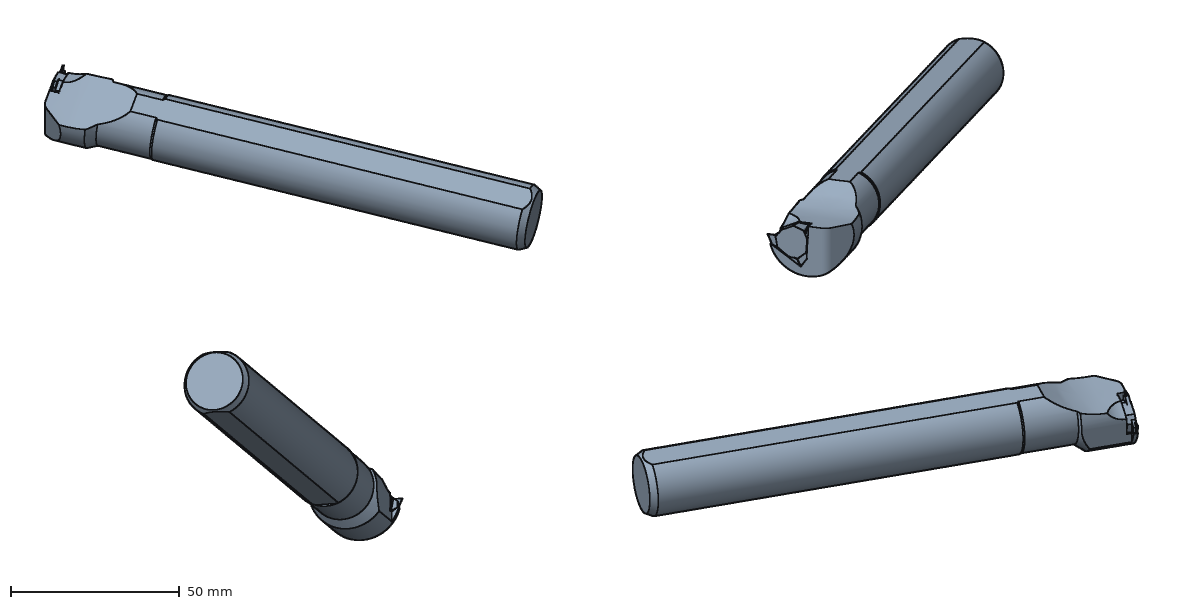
import cadquery as cq
import math

bar_length = 150.0
shank_diameter = 20.0
flat_height = 9.2
end_chamfer_length = 2.2
end_chamfer_depth = 1.2

neck_radius = 9.8
neck_start = 17.5
neck_end = 34.2
neck_step_length = 0.6

head_radius = 12.2
head_center = (0.9, 0.3)
head_end = 14.4
head_top = 4.0
relief_start = 1.4
relief_radius = 10.5
corner_cut_y = -5.1
corner_cut_x = 7.0
corner_round = 3.3
run_out_middle = (14.1, 4.5)
run_out_end = 26.2
run_out_slope = 28.0
scoop_radius = 9.0
scoop_point = (6.2, 3.3)
scoop_fall = 26.0

tooth_count = 3
insert_center = (5.7, -1.5)
insert_thickness = 2.8
tooth_thickness = 0.6
shoulder_thickness = 1.4
tooth_setback = 0.2
tooth_flank = (6.5, -1.5)
tooth_tip = (7.8, 1.42)
tooth_root = (5.4, 1.42)
shoulder_tip = (6.6, 0.5)
core_corners = [(4.6, -2.2), (5.2, 1.0), (3.6, 3.3)]

shank_radius = shank_diameter / 2
reach = 2 * shank_diameter


def disc(radius, start, length, center=(0, 0)):
    """Cylinder along X."""
    return cq.Workplane("YZ", origin=(start, 0, 0)).center(*center).circle(radius).extrude(length)


def prism(points, start, length):
    """Polygon in Y, Z extruded along X."""
    return cq.Workplane("YZ", origin=(start, 0, 0)).polyline(points).close().extrude(length)


def insert_point(offset, index):
    """Y, Z of an offset from the insert center, turned to the tooth of that index."""
    angle = 2 * math.pi * index / tooth_count
    y, z = offset
    return (
        insert_center[0] + y * math.cos(angle) - z * math.sin(angle),
        insert_center[1] + y * math.sin(angle) + z * math.cos(angle),
    )


def insert_outline(corners):
    """Repeat the corners of one tooth around the insert center."""
    return [insert_point(corner, i) for i in range(tooth_count) for corner in corners]


def make_insert():
    """Core with three thin teeth, each stiffened by a shorter shoulder behind it."""
    teeth = prism(
        insert_outline([tooth_flank, tooth_tip, tooth_root]),
        tooth_setback,
        tooth_thickness - tooth_setback,
    )
    shoulder = prism(
        insert_outline([tooth_flank, shoulder_tip, tooth_root]),
        tooth_setback,
        shoulder_thickness - tooth_setback,
    )
    core = prism(insert_outline(core_corners), 0, insert_thickness)
    return teeth.union(shoulder).union(core)


def make_shank():
    """Round shank with two flats, a chamfered end and a small step down to the neck."""
    step_end = neck_end + neck_step_length
    shank = (
        cq.Workplane("XY")
        .moveTo(neck_end, 0)
        .lineTo(neck_end, neck_radius)
        .lineTo(step_end, shank_radius)
        .lineTo(bar_length - end_chamfer_length, shank_radius)
        .lineTo(bar_length, shank_radius - end_chamfer_depth)
        .lineTo(bar_length, 0)
        .close()
        .revolve(360, (0, 0, 0), (1, 0, 0))
    )
    flats = cq.Workplane("XY").box(2 * bar_length, reach, 2 * flat_height)
    return shank.intersect(flats)


def make_neck():
    neck = disc(neck_radius, neck_start, neck_end - neck_start)
    above_flat = cq.Workplane("XY", origin=(0, 0, flat_height)).rect(2 * bar_length, reach).extrude(reach)
    return neck.cut(above_flat)


def make_head():
    """Offset round head, cut back on +Y, blending into the neck."""
    head = disc(head_radius, 0, head_end, head_center)
    blend = (
        cq.Workplane("YZ", origin=(head_end, 0, 0))
        .center(*head_center)
        .circle(head_radius)
        .workplane(offset=neck_start - head_end)
        .center(-head_center[0], -head_center[1])
        .circle(neck_radius)
        .loft()
    )
    relief = (
        cq.Workplane("YZ", origin=(relief_start, 0, 0))
        .moveTo(0, relief_radius)
        .radiusArc((relief_radius, 0), relief_radius)
        .lineTo(relief_radius, -reach)
        .lineTo(reach, -reach)
        .lineTo(reach, reach)
        .lineTo(0, reach)
        .close()
        .extrude(reach)
    )
    return head.union(blend).cut(relief).intersect(corner_envelope())


def corner_envelope():
    """Block whose front -Y corner is cut off obliquely, with a rounded front edge."""
    cut_end_y = head_center[0] - head_radius
    block = (
        cq.Workplane("XY", origin=(0, 0, -reach))
        .polyline([
            (0, reach),
            (0, corner_cut_y),
            (corner_cut_x, cut_end_y),
            (corner_cut_x, -reach),
            (reach, -reach),
            (reach, reach),
        ])
        .close()
        .extrude(2 * reach)
    )
    front_edge = cq.selectors.NearestToPointSelector((0, corner_cut_y, 0))
    return block.edges(front_edge).fillet(corner_round)


def top_cut():
    """Space above the head top, which starts level and curves up to the shank flat."""
    slope = math.radians(run_out_slope)
    end_direction = (math.cos(slope), math.sin(slope))
    return (
        cq.Workplane("XZ", origin=(0, reach, 0))
        .moveTo(0, head_top)
        .spline(
            [run_out_middle, (run_out_end, flat_height)],
            tangents=[(1, 0), end_direction],
            includeCurrent=True,
        )
        .lineTo(run_out_end, reach)
        .lineTo(0, reach)
        .close()
        .extrude(2 * reach)
    )


def chip_scoop():
    """Round trough behind the insert, falling toward +Y."""
    fall = math.radians(scoop_fall)
    direction = cq.Vector(0, math.cos(fall), -math.sin(fall))
    upward = cq.Vector(0, math.sin(fall), math.cos(fall))
    bottom = cq.Vector(insert_thickness, *scoop_point)
    start = bottom + upward * scoop_radius - direction * reach
    trough = cq.Solid.makeCylinder(scoop_radius, 2 * reach, start, direction)
    behind_insert = (
        cq.Workplane("XY", origin=(insert_thickness, 0, -reach))
        .rect(reach, reach, centered=False)
        .extrude(2 * reach)
    )
    return cq.Workplane(trough).intersect(behind_insert)


def insert_pocket():
    """Seat open to the front, top and +Y side, touching the insert on two edges."""
    low_tooth = 2
    high_tooth = 1
    flank = insert_point(tooth_flank, 0)
    low_tip = insert_point(tooth_tip, low_tooth)
    low_flank = insert_point(tooth_flank, low_tooth)
    high_tip = insert_point(tooth_tip, high_tooth)
    return prism(
        [flank, low_tip, low_flank, high_tip, (high_tip[0], reach), (reach, reach), (reach, flank[1])],
        0,
        insert_thickness,
    )


holder = make_head().union(make_neck()).union(make_shank())
holder = holder.cut(top_cut()).cut(chip_scoop()).cut(insert_pocket())
insert = make_insert()

result = cq.Compound.makeCompound([holder.val(), insert.val()])